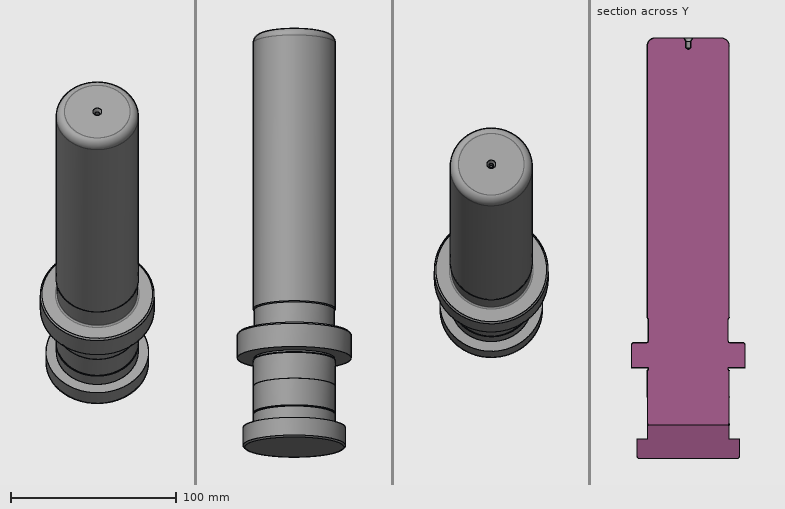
import cadquery as cq
import math

total_height = 255.0
flange_top = 12.0
spigot_top = 20.5
lead_in_top = 37.5
collar_bottom = 55.0
collar_top = 70.5
neck_top = 85.5

shaft_diameter = 50.0
lead_in_diameter = 49.7
neck_diameter = 48.7
collar_diameter = 69.0
flange_diameter = 62.2

top_round = 5.0
collar_chamfer = 1.0
neck_fillet = 1.0
undercut_height = 1.0
step_chamfer = 0.65
flange_chamfer = 1.0

countersink_diameter = 5.4
centre_drill_diameter = 2.8
centre_drill_depth = 6.0
countersink_angle = 60.0
drill_tip_angle = 120.0

shaft_radius = shaft_diameter / 2
lead_in_radius = lead_in_diameter / 2
neck_radius = neck_diameter / 2
collar_radius = collar_diameter / 2
flange_radius = flange_diameter / 2


def cone_height(large_radius, small_radius, included_angle):
    return (large_radius - small_radius) / math.tan(math.radians(included_angle / 2))


def make_centre_hole():
    """Countersunk drill hole with a pointed bottom, as a cutting tool."""
    countersink_radius = countersink_diameter / 2
    drill_radius = centre_drill_diameter / 2
    cone_bottom = total_height - cone_height(countersink_radius, drill_radius, countersink_angle)
    drill_bottom = total_height - centre_drill_depth
    tip = drill_bottom - cone_height(drill_radius, 0, drill_tip_angle)
    return (
        cq.Workplane("XZ")
        .moveTo(0, total_height)
        .lineTo(countersink_radius, total_height)
        .lineTo(drill_radius, cone_bottom)
        .lineTo(drill_radius, drill_bottom)
        .lineTo(0, tip)
        .close()
        .revolve(360, (0, 0, 0), (0, 1, 0))
    )


def make_guide_pin():
    """Round-topped shaft with a neck, a stop collar and a locating end."""
    round_start = total_height - top_round
    body = (
        cq.Workplane("XZ")
        .moveTo(0, spigot_top)
        .lineTo(lead_in_radius - step_chamfer, spigot_top)
        .lineTo(lead_in_radius, spigot_top + step_chamfer)
        .lineTo(lead_in_radius, lead_in_top)
        .lineTo(shaft_radius, lead_in_top)
        .lineTo(shaft_radius, collar_bottom - undercut_height - step_chamfer)
        .lineTo(neck_radius, collar_bottom - undercut_height)
        .lineTo(neck_radius, collar_bottom)
        .lineTo(collar_radius, collar_bottom)
        .lineTo(collar_radius, collar_top - collar_chamfer)
        .lineTo(collar_radius - collar_chamfer, collar_top)
        .lineTo(neck_radius + neck_fillet, collar_top)
        .radiusArc((neck_radius, collar_top + neck_fillet), neck_fillet)
        .lineTo(neck_radius, neck_top - step_chamfer)
        .lineTo(shaft_radius, neck_top)
        .lineTo(shaft_radius, round_start)
        .radiusArc((shaft_radius - top_round, total_height), -top_round)
        .lineTo(0, total_height)
        .close()
        .revolve(360, (0, 0, 0), (0, 1, 0))
    )
    return body.cut(make_centre_hole())


def make_end_cap():
    """Chamfered flange with a spigot that meets the end of the pin."""
    return (
        cq.Workplane("XY")
        .circle(flange_radius)
        .extrude(flange_top)
        .faces("<Z")
        .chamfer(flange_chamfer)
        .faces(">Z")
        .workplane()
        .circle(lead_in_radius)
        .extrude(spigot_top - flange_top)
    )


guide_pin = make_guide_pin()
end_cap = make_end_cap()

result = cq.Compound.makeCompound([guide_pin.val(), end_cap.val()])